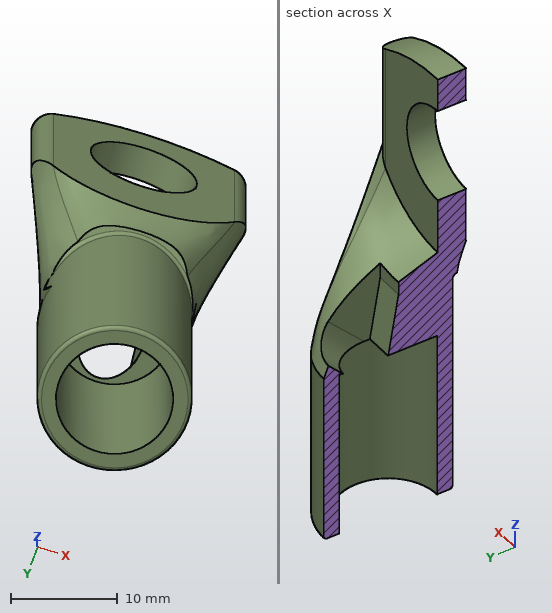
import cadquery as cq
import math

barrel_radius = 7.25
bore_radius = 5.5
bore_depth = 18.7
rim_fillet = 0.4
shoulder_height = 19.05

palm_width = 21.0
palm_thickness = 3.2
palm_back = -8.7
bolt_hole_diameter = 10.5
bolt_hole_height = 40.0
palm_root_radius = 11.4
crown_radius = 19.7
total_height = 49.0

lower_ring = [(0, -7.45, 22.05), (5.3, -5.3, 23.5), (7.4, -0.75, 24.0), (5.7, 3.05, 23.8), (0, 4.7, 23.15)]
upper_ring = [(0, -7.75, 25.25), (7.1, -6.6, 28.9), (8.58, -2.95, 29.65), (7.15, -1.0, 28.15), (0, 0.3, 26.2)]

lip_start = (-0.75, 21.4)
lip_foot_y = -2.1
lip_angle = 29.0
lip_fillet = 0.5

window_width = 6.15
window_tilt = 45.0
window_low_y = 4.95
window_floor_y = 0.05
window_rear_y = -1.15
window_rear_height = 25.5
window_overlap = 0.1

palm_front = palm_back + palm_thickness
palm_middle = palm_back + palm_thickness / 2
half_width = palm_width / 2
flat_half_width = half_width - palm_thickness / 2
root_bottom = bolt_hole_height - palm_root_radius


def y_cylinder(radius, height):
    """Cylinder along Y at the given height, long enough to pass the whole part."""
    return cq.Workplane("XZ", origin=(0, 0, height)).circle(radius).extrude(2 * palm_width, both=True)


def make_palm():
    """Plate with rounded edges, a convex crown and an arched root around the bolt hole."""
    edge_shift = palm_thickness / 2 * math.sqrt(0.5)
    edge_x = flat_half_width + edge_shift
    edge_back = palm_middle - edge_shift
    edge_front = palm_middle + edge_shift
    root_allowance = 0.5
    plate = (
        cq.Workplane("XY", origin=(0, 0, root_bottom - root_allowance))
        .moveTo(-flat_half_width, palm_back)
        .lineTo(flat_half_width, palm_back)
        .threePointArc((edge_x, edge_back), (half_width, palm_middle))
        .threePointArc((edge_x, edge_front), (flat_half_width, palm_front))
        .lineTo(-flat_half_width, palm_front)
        .threePointArc((-edge_x, edge_front), (-half_width, palm_middle))
        .threePointArc((-edge_x, edge_back), (-flat_half_width, palm_back))
        .close()
        .extrude(total_height - root_bottom + root_allowance)
    )
    below_root = (
        cq.Workplane("XY")
        .box(2 * palm_width, 2 * palm_width, bolt_hole_height, centered=(True, True, False))
        .cut(y_cylinder(palm_root_radius, bolt_hole_height))
    )
    crown = y_cylinder(crown_radius, total_height - crown_radius)
    return plate.cut(below_root).intersect(crown)


def ring_wire(points):
    """Closed wire of four smooth edges through five points of the +X half and their mirror images."""
    right = [cq.Vector(*point) for point in points]
    left = [cq.Vector(-x, y, z) for x, y, z in points]
    back_middle, back_corner, _, front_corner, front_middle = right
    edges = [
        cq.Edge.makeThreePointArc(left[1], back_middle, back_corner),
        cq.Edge.makeThreePointArc(*right[1:4]),
        cq.Edge.makeThreePointArc(front_corner, front_middle, left[3]),
        cq.Edge.makeThreePointArc(*left[3:0:-1]),
    ]
    return cq.Wire.assembleEdges(edges)


def make_neck(palm):
    """Lofted skin from the shoulder circle through both rings to the arched root of the palm."""
    root = palm.faces("<Z").val()
    shoulder_ring = [
        (barrel_radius * math.cos(angle), barrel_radius * math.sin(angle), shoulder_height)
        for angle in (math.radians(45 * step) for step in range(-2, 3))
    ]
    shoulder = ring_wire(shoulder_ring)
    rings = [shoulder, ring_wire(lower_ring), ring_wire(upper_ring), root.outerWire()]
    skin = cq.occ_impl.shapes.loft(rings).Faces()
    shell = cq.Shell.makeShell(skin + [cq.Face.makeFromWires(shoulder), root])
    return cq.Workplane(cq.Solid.makeSolid(shell))


def make_undercut():
    """Wedge below the sloped lip, where the barrel wall stands clear of the neck."""
    far_y = -2 * barrel_radius
    far_z = lip_start[1] + (lip_start[0] - far_y) * math.tan(math.radians(lip_angle))
    return (
        cq.Workplane("YZ")
        .polyline([lip_start, (lip_foot_y, shoulder_height), (far_y, shoulder_height), (far_y, far_z)])
        .close()
        .extrude(palm_width, both=True)
    )


def make_barrel(undercut):
    """Round barrel with a rounded rim, carried on up to the sloped lip."""
    barrel = cq.Workplane("XY").circle(barrel_radius).extrude(shoulder_height)
    barrel = barrel.faces("<Z").edges().fillet(rim_fillet)
    column = cq.Workplane("XY").circle(barrel_radius).extrude(total_height)
    return barrel.union(column.intersect(undercut))


def make_window():
    """Tilted cutter with a round lower end and a steep rear end, starting at the end of the bore."""
    window_radius = window_width / 2
    tilt = math.radians(window_tilt)
    floor = bore_depth - window_overlap
    centre_y = window_low_y - window_radius / math.cos(tilt)
    reach = 2 * barrel_radius
    axis = cq.Plane(
        origin=(0, centre_y, floor), xDir=(1, 0, 0), normal=(0, math.sin(tilt), math.cos(tilt))
    )
    round_end = cq.Workplane(axis).circle(window_radius).extrude(reach, both=True)
    straight_part = (
        cq.Workplane("YZ")
        .polyline(
            [
                (window_floor_y, floor),
                (centre_y, floor),
                (centre_y + reach * math.tan(tilt), floor + reach),
                (window_rear_y, floor + reach),
                (window_rear_y, window_rear_height),
            ]
        )
        .close()
        .extrude(window_radius, both=True)
    )
    clearance = (
        cq.Workplane("XY", origin=(0, window_floor_y, floor))
        .box(window_width, reach, reach, centered=(True, False, False))
    )
    return round_end.intersect(clearance).union(straight_part)


palm = make_palm()
undercut = make_undercut()
bore = cq.Workplane("XY").circle(bore_radius).extrude(bore_depth)
bolt_hole = y_cylinder(bolt_hole_diameter / 2, bolt_hole_height)

body = palm.union(make_neck(palm)).cut(undercut).union(make_barrel(undercut))
body = body.edges("%ELLIPSE").edges("<Y").fillet(lip_fillet)
result = body.cut(bolt_hole).cut(bore).cut(make_window())